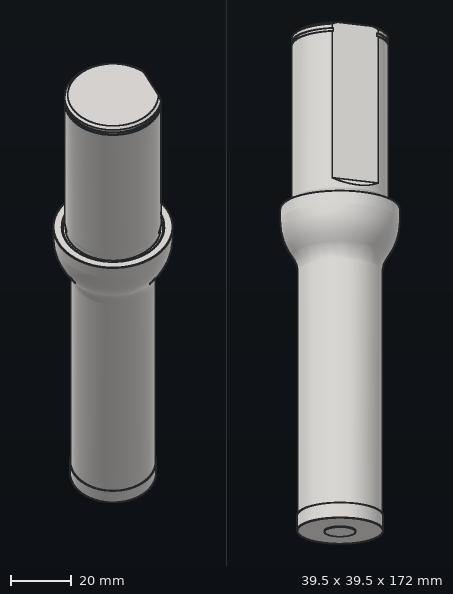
import cadquery as cq
import math

total_length = 172.0

tip_radius = 14.3
tip_top = 5.7
boss_radius = 5.2
boss_height = 0.3
tip_chamfer = 0.2

neck_radius = 28.0 / 2
neck_top = 90.1

collar_radius = 39.5 / 2
rim_bottom = 107.7
collar_top = 112.1
rim_chamfer = 0.2
recess_radius = 17.0
recess_floor_radius = 16.5
recess_depth = 0.5

shank_radius = 32.0 / 2
groove_radius = 31.5 / 2
lower_groove_top = 113.5
lower_taper_top = 114.4
upper_groove_bottom = 168.7
upper_groove_top = 169.8
top_face_radius = 15.0
top_rim = 171.1

flat_offset = 13.8
flat_bottom = 117.8


def make_tip():
    """Short disc with a chamfered lower edge and a low central boss."""
    return (
        cq.Workplane("XZ")
        .polyline([
            (0, 0),
            (boss_radius, 0),
            (boss_radius, boss_height),
            (tip_radius - tip_chamfer, boss_height),
            (tip_radius, boss_height + tip_chamfer),
            (tip_radius, tip_top),
            (0, tip_top),
        ])
        .close()
        .revolve(360, (0, 0), (0, 1))
    )


def make_turned_holder():
    """Neck, collar and shank revolved in one profile."""
    ball_drop = rim_bottom - neck_top
    fillet_radius = (neck_radius**2 + ball_drop**2 - collar_radius**2) / (2 * (collar_radius - neck_radius))
    fillet_center = neck_radius + fillet_radius
    contact_angle = math.atan2(ball_drop, fillet_center)

    def on_ball(angle):
        return collar_radius * math.cos(angle), rim_bottom - collar_radius * math.sin(angle)

    def on_fillet(angle):
        return fillet_center - fillet_radius * math.cos(angle), neck_top + fillet_radius * math.sin(angle)

    return (
        cq.Workplane("XZ")
        .moveTo(0, tip_top)
        .lineTo(neck_radius, tip_top)
        .lineTo(neck_radius, neck_top)
        .threePointArc(on_fillet(contact_angle / 2), on_fillet(contact_angle))
        .threePointArc(on_ball(contact_angle / 2), on_ball(0))
        .lineTo(collar_radius, collar_top - rim_chamfer)
        .lineTo(collar_radius - rim_chamfer, collar_top)
        .lineTo(recess_radius, collar_top)
        .lineTo(recess_floor_radius, collar_top - recess_depth)
        .lineTo(groove_radius, collar_top - recess_depth)
        .lineTo(groove_radius, lower_groove_top)
        .lineTo(shank_radius, lower_taper_top)
        .lineTo(shank_radius, upper_groove_bottom)
        .lineTo(groove_radius, upper_groove_bottom)
        .lineTo(groove_radius, upper_groove_top)
        .lineTo(shank_radius, upper_groove_top)
        .lineTo(shank_radius, top_rim)
        .lineTo(top_face_radius, total_length)
        .lineTo(0, total_length)
        .close()
        .revolve(360, (0, 0), (0, 1))
    )


def make_flat_cutter():
    """Prism that removes the flat and its sloped run-out."""
    run_out = shank_radius - flat_offset
    return (
        cq.Workplane("YZ")
        .polyline([
            (flat_offset, flat_bottom),
            (shank_radius, flat_bottom - run_out),
            (shank_radius, total_length),
            (flat_offset, total_length),
        ])
        .close()
        .extrude(shank_radius, both=True)
    )


tip = make_tip()
holder = make_turned_holder().cut(make_flat_cutter())

result = cq.Compound.makeCompound([tip.val(), holder.val()])